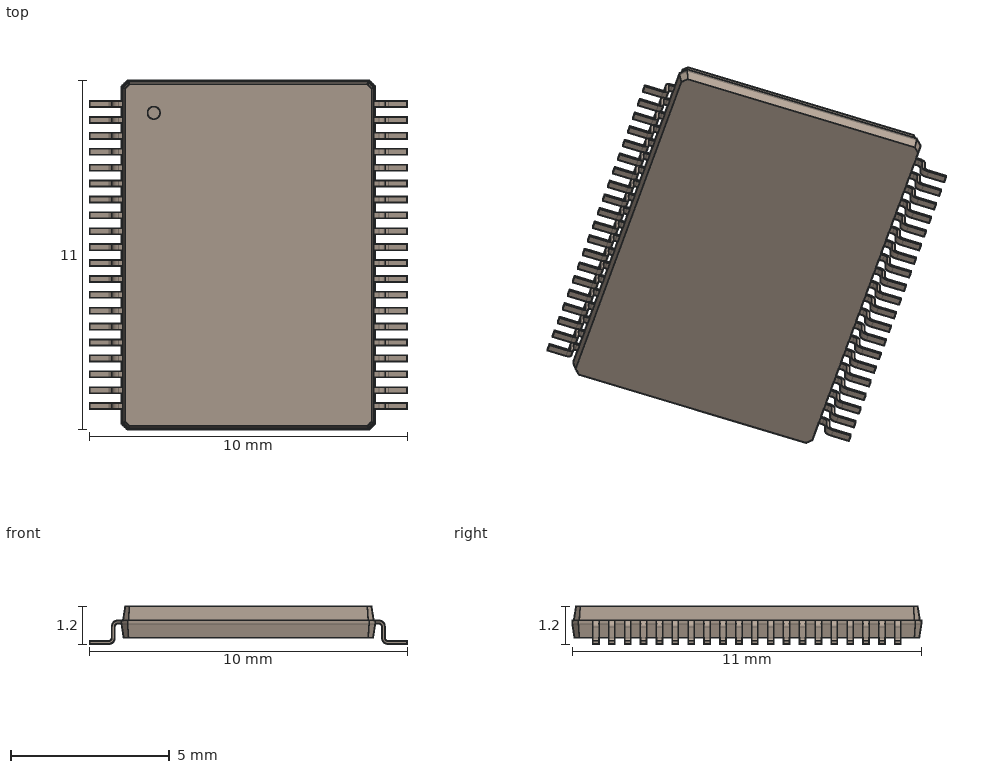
import cadquery as cq

body_length = 11.0
body_width = 8.0
body_bottom = 0.2
body_top = 1.2
corner_chamfer = 0.2
draft = 9.0

band_height = 0.1
upper_step = 0.051
upper_corner_chamfer = 0.18

mark_diameter = 0.4
mark_depth = 0.04
mark_inset = 1.02

leads_per_side = 20
lead_row_span = 9.5
lead_tip_span = 10.0
lead_thickness = 0.1
lead_width = 0.2
lead_rise_span = 8.6
inner_bend_radius = 0.1
lead_embed = 0.11

band_bottom = (body_bottom + body_top - band_height) / 2
band_top = band_bottom + band_height
lead_pitch = lead_row_span / (leads_per_side - 1)


def body_layer(base, end, inset, chamfer, taper):
    """Slab with chamfered corners, inset on all sides and drafted from base to end."""
    outline = (
        cq.Sketch()
        .rect(body_width - 2 * inset, body_length - 2 * inset)
        .vertices()
        .chamfer(chamfer)
    )
    return cq.Workplane("XY").workplane(offset=base).placeSketch(outline).extrude(end - base, taper=taper)


def make_body():
    band = body_layer(band_bottom, band_top, 0, corner_chamfer, 0)
    upper_half = body_layer(band_top, body_top, upper_step, upper_corner_chamfer, draft)
    lower_half = body_layer(band_bottom, body_bottom, 0, corner_chamfer, draft)
    return band.union(upper_half).union(lower_half)


def make_pin_one_mark():
    return (
        cq.Workplane("XY")
        .workplane(offset=body_top - mark_depth)
        .center(mark_inset - body_width / 2, body_length / 2 - mark_inset)
        .circle(mark_diameter / 2)
        .extrude(mark_depth)
    )


def make_lead():
    """One lead on the +X side, centred on Y = 0, as a bent strip from the body to the tip."""
    root = body_width / 2 - lead_embed
    tip = lead_tip_span / 2
    outer_face = lead_rise_span / 2
    inner_face = outer_face - lead_thickness
    shoulder_start = inner_face - inner_bend_radius
    shoulder_centre_z = band_bottom - inner_bend_radius
    foot_start = outer_face + inner_bend_radius
    foot_centre_z = lead_thickness + inner_bend_radius
    outer_bend_radius = inner_bend_radius + lead_thickness
    return (
        cq.Workplane("XZ")
        .moveTo(root, band_top)
        .lineTo(shoulder_start, band_top)
        .radiusArc((outer_face, shoulder_centre_z), outer_bend_radius)
        .lineTo(outer_face, foot_centre_z)
        .radiusArc((foot_start, lead_thickness), -inner_bend_radius)
        .lineTo(tip, lead_thickness)
        .lineTo(tip, 0)
        .lineTo(foot_start, 0)
        .radiusArc((inner_face, foot_centre_z), outer_bend_radius)
        .lineTo(inner_face, shoulder_centre_z)
        .radiusArc((shoulder_start, band_bottom), -inner_bend_radius)
        .lineTo(root, band_bottom)
        .close()
        .extrude(lead_width / 2, both=True)
    )


def add_leads(body):
    """Join a row of leads to each long side of the body."""
    right_lead = make_lead()
    left_lead = right_lead.mirror("YZ")
    for index in range(leads_per_side):
        row_position = index * lead_pitch - lead_row_span / 2
        for lead in (right_lead, left_lead):
            body = body.union(lead.translate((0, row_position, 0)))
    return body


result = add_leads(make_body().cut(make_pin_one_mark()))